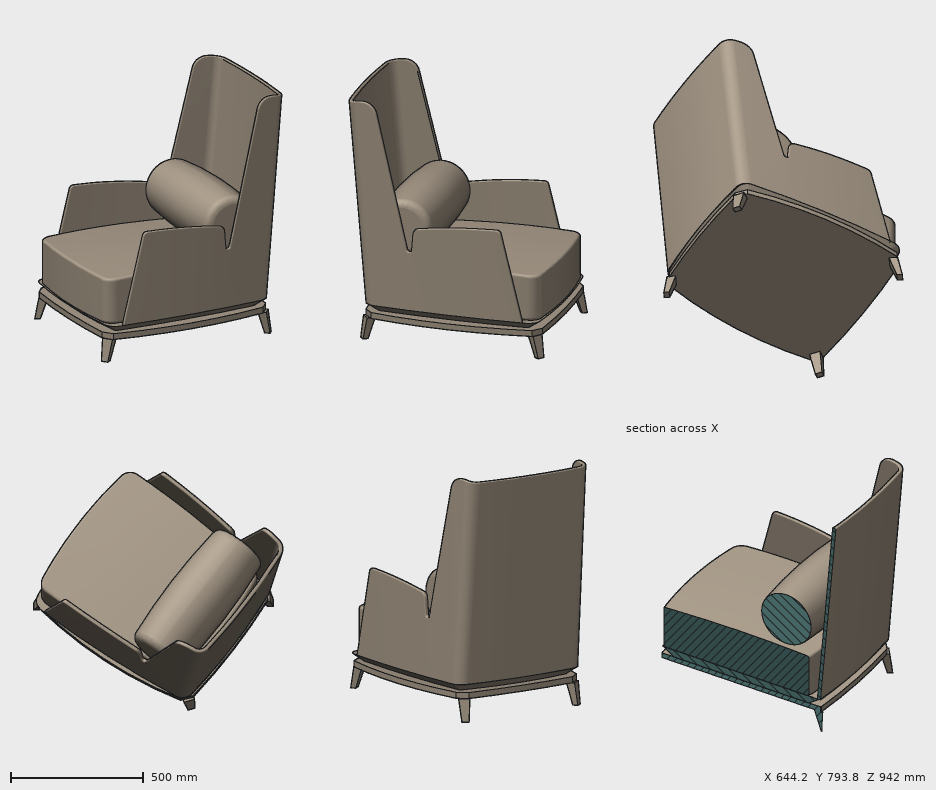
import cadquery as cq
import math


frame_bottom = 87.0
frame_top = 110.0
frame_back = 727.0
frame_half_width = 322.0
frame_widest_y = 302.0
frame_bow = 11.0
front_corner = [(265.0, frame_bow), (304.0, 40.5)]
rear_corner = [(273.0, 685.0), (235.0, frame_back - frame_bow)]

leg_foot_size = (27.0, 21.0)
leg_head_size = (42.0, 33.0)
front_leg_foot = (286.0, 17.0)
front_leg_head = (276.0, 38.0)
rear_leg_foot = (252.0, 717.0)
rear_leg_head = (245.0, 699.0)
leg_turn = 36.0

shell_floor = 141.0
shell_height = 942.0
shell_half_width = 318.0
shell_widest_y = 132.0
side_radius = 4052.0
front_bow = 23.0
back_bow = 21.0
back_at_floor = 726.0
back_at_top = 795.0
wall = 16.0
shell_corner_radius = 47.0
rim_radius = 5.0
base_inset = 41.0

rear_top = (810.0, 930.0)
wing_top = (731.0, 942.0)
wing_corner = (672.0, 942.0)
notch_bottom = (523.0, 323.0)
arm_rear = (511.0, 464.0)
arm_middle = (343.0, 487.0)
arm_front = (165.0, 497.0)
arm_foot = (77.0, shell_floor)
wing_top_radius = 141.0
wing_corner_radius = 57.0
notch_radius = 9.0
arm_rear_radius = 24.0
arm_front_radius = 19.0

cushion_gap = 29.0
cushion_back = 686.0
cushion_crown = 334.0
cushion_front_bow = 24.5
crown_radius = 5654.0
cushion_corner_radius = 48.0
cushion_edge_radius = 10.0

bolster_y = 562.0
bolster_z = 452.0
bolster_radius = 122.5
bolster_end_radius = 107.0
bolster_half_length = 268.0
bolster_edge_radius = 28.0


def mirrored(point):
    return (-point[0], point[1])


def side_half_width(y):
    """Half width of the shell plan at depth y; each side is one large arc."""
    arc_drop = side_radius - math.sqrt(side_radius**2 - (y - shell_widest_y) ** 2)
    return shell_half_width - arc_drop


def plan_outline(z, front, back, inset, bow_front):
    """Closed plan of four bowed edges, with the sides drawn in by inset."""
    front_right = (side_half_width(front + bow_front) - inset, front + bow_front)
    back_right = (side_half_width(back - back_bow) - inset, back - back_bow)
    middle_y = (front_right[1] + back_right[1]) / 2
    side_right = (side_half_width(middle_y) - inset, middle_y)
    return (
        cq.Workplane("XY", origin=(0, 0, z))
        .moveTo(*mirrored(front_right))
        .threePointArc((0, front), front_right)
        .threePointArc(side_right, back_right)
        .threePointArc((0, back), mirrored(back_right))
        .threePointArc(mirrored(side_right), mirrored(front_right))
        .close()
    )


def rounded_block(z, height, front, back, inset, bow_front, corner_radius):
    """Upright block on the bowed plan with its four corners rounded."""
    block = plan_outline(z, front, back, inset, bow_front).extrude(height)
    return block.edges("|Z").fillet(corner_radius)


def leaning_body(front, inset, corner_radius):
    """Solid with upright bowed sides and a bowed back that leans from the floor to the top."""
    height = shell_height - shell_floor
    upright = plan_outline(shell_floor, front, back_at_top + back_bow, inset, front_bow).extrude(height)
    back = back_at_floor - inset
    slab_outline = (
        cq.Workplane("XY", origin=(0, 0, shell_floor))
        .moveTo(-shell_half_width, back - back_bow)
        .threePointArc((0, back), (shell_half_width, back - back_bow))
        .lineTo(shell_half_width, 2 * front - back)
        .lineTo(-shell_half_width, 2 * front - back)
        .close()
    )
    lean = cq.Vector(0, back_at_top - back_at_floor, height)
    slab = cq.Solid.extrudeLinear(slab_outline.wire().val(), [], lean)
    body = upright.intersect(cq.Workplane(slab))
    middle_z = (shell_floor + shell_height) / 2
    for side in (-1, 1):
        corner_edge = cq.NearestToPointSelector((side * shell_half_width, back_at_top, middle_z))
        body = body.edges(corner_edge).fillet(corner_radius)
    return body


def side_profile():
    """Side shape of wings and arms, as a bar through the full width."""
    width = 3 * shell_half_width
    bar = (
        cq.Workplane("YZ", origin=(-width / 2, 0, 0))
        .moveTo(rear_top[0], shell_floor)
        .lineTo(*rear_top)
        .lineTo(*wing_top)
        .lineTo(*wing_corner)
        .lineTo(*notch_bottom)
        .lineTo(*arm_rear)
        .threePointArc(arm_middle, arm_front)
        .lineTo(*arm_foot)
        .close()
        .extrude(width)
    )
    corners = [
        (wing_top, wing_top_radius),
        (wing_corner, wing_corner_radius),
        (notch_bottom, notch_radius),
        (arm_rear, arm_rear_radius),
        (arm_front, arm_front_radius),
    ]
    for (y, z), radius in corners:
        bar = bar.edges(cq.NearestToPointSelector((0, y, z))).fillet(radius)
    return bar


def rim_edges(walls):
    """Edges along the rim, without the floor edges, rear corner seams and lines across the rim."""
    just_above_floor = shell_floor + rim_radius
    edges = []
    for edge in walls.edges().vals():
        box = edge.BoundingBox()
        reaches_floor = box.zmin < just_above_floor
        on_floor = box.zmax < just_above_floor
        corner_seam = reaches_floor and box.ymin > notch_bottom[0]
        across_rim = edge.geomType() == "LINE"
        if not (on_floor or corner_seam or across_rim):
            edges.append(edge)
    return edges


def make_shell():
    upholstery = leaning_body(0, 0, shell_corner_radius)
    hollow = leaning_body(-shell_corner_radius, wall, shell_corner_radius - wall)
    walls = upholstery.cut(hollow).intersect(side_profile())
    walls = walls.newObject(rim_edges(walls)).fillet(rim_radius)

    block_height = shell_floor - frame_top
    base_radius = shell_corner_radius - base_inset
    base_back = back_at_floor - base_inset
    seat_plan = rounded_block(shell_floor, block_height, 0, back_at_floor, 0, front_bow, shell_corner_radius)
    base_plan = rounded_block(frame_top, block_height, base_inset, base_back, base_inset, front_bow, base_radius)
    outlines = [block.faces("<Z").wires().val() for block in (base_plan, seat_plan)]
    base = cq.Workplane(cq.Solid.makeLoft(outlines, True))
    return walls.union(base)


def make_leg(foot, head, turn):
    """Tapered bar from the floor into the frame, turned to face its corner."""
    sections = []
    for z, center, size in ((0, foot, leg_foot_size), (frame_bottom, head, leg_head_size)):
        section = cq.Workplane("XY").transformed(rotate=(0, 0, turn), offset=(*center, z)).rect(*size)
        sections.append(section.wire().val())
    return cq.Workplane(cq.Solid.makeLoft(sections, True))


def make_frame():
    plate = (
        cq.Workplane("XY", origin=(0, 0, frame_bottom))
        .moveTo(*mirrored(front_corner[0]))
        .threePointArc((0, 0), front_corner[0])
        .lineTo(*front_corner[1])
        .threePointArc((frame_half_width, frame_widest_y), rear_corner[0])
        .lineTo(*rear_corner[1])
        .threePointArc((0, frame_back), mirrored(rear_corner[1]))
        .lineTo(*mirrored(rear_corner[0]))
        .threePointArc((-frame_half_width, frame_widest_y), mirrored(front_corner[1]))
        .close()
        .extrude(frame_top - frame_bottom)
    )
    front_leg = make_leg(front_leg_foot, front_leg_head, leg_turn)
    rear_leg = make_leg(rear_leg_foot, rear_leg_head, -leg_turn)
    for leg in (front_leg, rear_leg):
        plate = plate.union(leg).union(leg.mirror("YZ"))
    return plate


def make_cushion():
    """Rounded block with a gently domed top and softened edges."""
    height = cushion_crown - shell_floor
    block = rounded_block(
        shell_floor, height, 0, cushion_back, cushion_gap, cushion_front_bow, cushion_corner_radius
    )
    crown_center = (0, cushion_back / 2, cushion_crown - crown_radius)
    dome = cq.Workplane("XY", origin=crown_center).sphere(crown_radius, direct=(1, 0, 0))
    return block.intersect(dome).faces(">Z or <Z").edges().fillet(cushion_edge_radius)


def make_bolster():
    barrel = (
        cq.Workplane("XZ", origin=(0, bolster_y, bolster_z))
        .moveTo(-bolster_half_length, 0)
        .lineTo(-bolster_half_length, bolster_end_radius)
        .threePointArc((0, bolster_radius), (bolster_half_length, bolster_end_radius))
        .lineTo(bolster_half_length, 0)
        .close()
        .revolve(360, (0, 0, 0), (1, 0, 0))
    )
    return barrel.faces("<X or >X").edges().fillet(bolster_edge_radius)


frame = make_frame()
shell = make_shell()
cushion = make_cushion()
bolster = make_bolster()

result = cq.Compound.makeCompound([frame.val(), shell.val(), cushion.val(), bolster.val()])